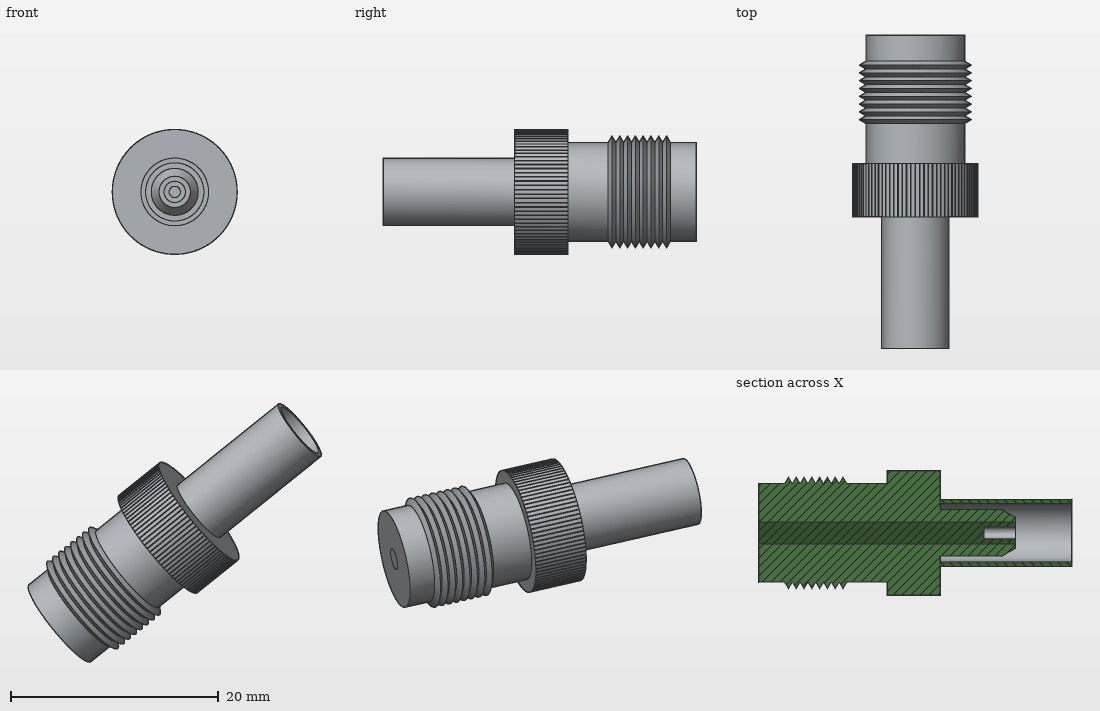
import cadquery as cq
import math

total_length = 30.2

barrel_radius = 4.77
thread_crest_radius = 5.4
thread_length = 6.0
thread_count = 8
thread_pitch = thread_length / thread_count
nose_length = 2.5

collar_diameter = 12.05
collar_radius = collar_diameter / 2
collar_start = 12.68
collar_length = 5.13
knurl_count = 90
knurl_width = 0.05
knurl_depth = 0.03

sleeve_outer_radius = 3.25
sleeve_inner_radius = 2.8

stem_radius = 2.25
stem_tip_radius = 1.5
stem_tip_recess = 5.45
stem_taper_half_angle = math.radians(30)
stem_taper_length = (stem_radius - stem_tip_radius) / math.tan(stem_taper_half_angle)

contact_radius = 1.03
core_hole_radius = 0.55
core_hole_depth = 3.02

thread_end = total_length - nose_length
thread_start = thread_end - thread_length


def cylinder(radius, start, end):
    """Cylinder on the Y axis between two Y positions."""
    return cq.Workplane("XZ", origin=(0, start, 0)).circle(radius).extrude(start - end)


def make_barrel():
    """Revolved tapered stem and barrel, with sharp-crested thread rings."""
    outline = [
        (0, stem_tip_recess),
        (stem_tip_radius, stem_tip_recess),
        (stem_radius, stem_tip_recess + stem_taper_length),
        (stem_radius, collar_start),
        (barrel_radius, collar_start),
        (barrel_radius, thread_start),
    ]
    for ring in range(thread_count):
        ring_start = thread_start + ring * thread_pitch
        outline.append((thread_crest_radius, ring_start + thread_pitch / 2))
        outline.append((barrel_radius, ring_start + thread_pitch))
    outline.append((barrel_radius, total_length))
    outline.append((0, total_length))
    return cq.Workplane("XY").polyline(outline).close().revolve(360, (0, 0, 0), (0, 1, 0))


def rim_point(radius, angle):
    """Point at a radius and angle in the plane across the axis."""
    return (radius * math.cos(angle), radius * math.sin(angle))


def make_collar():
    """Collar whose rim carries evenly spaced, shallow V grooves along Y."""
    step = 2 * math.pi / knurl_count
    half_groove = knurl_width / 2 / collar_radius
    groove_floor_radius = collar_radius - knurl_depth
    rim = cq.Workplane("XZ", origin=(0, collar_start, 0))
    rim = rim.moveTo(*rim_point(collar_radius, half_groove - step / 2))
    for land in range(knurl_count):
        angle = land * step
        rim = rim.threePointArc(
            rim_point(collar_radius, angle),
            rim_point(collar_radius, angle + step / 2 - half_groove),
        )
        rim = rim.lineTo(*rim_point(groove_floor_radius, angle + step / 2))
        if land < knurl_count - 1:
            rim = rim.lineTo(*rim_point(collar_radius, angle + step / 2 + half_groove))
    return rim.close().extrude(-collar_length)


def make_housing():
    """Barrel and collar in one piece, bored through for the contact."""
    contact_bore = cylinder(contact_radius, stem_tip_recess, total_length)
    return make_barrel().union(make_collar()).cut(contact_bore)


def make_sleeve():
    """Plain tube that butts against the collar and surrounds the stem."""
    tube = cylinder(sleeve_outer_radius, 0, collar_start)
    return tube.cut(cylinder(sleeve_inner_radius, 0, collar_start))


def make_contact():
    """Round contact filling the housing bore, flush with both ends."""
    rod = cylinder(contact_radius, stem_tip_recess, total_length)
    return rod.cut(cylinder(core_hole_radius, stem_tip_recess, stem_tip_recess + core_hole_depth))


housing = make_housing()
sleeve = make_sleeve()
contact = make_contact()

result = cq.Compound.makeCompound([housing.val(), sleeve.val(), contact.val()])